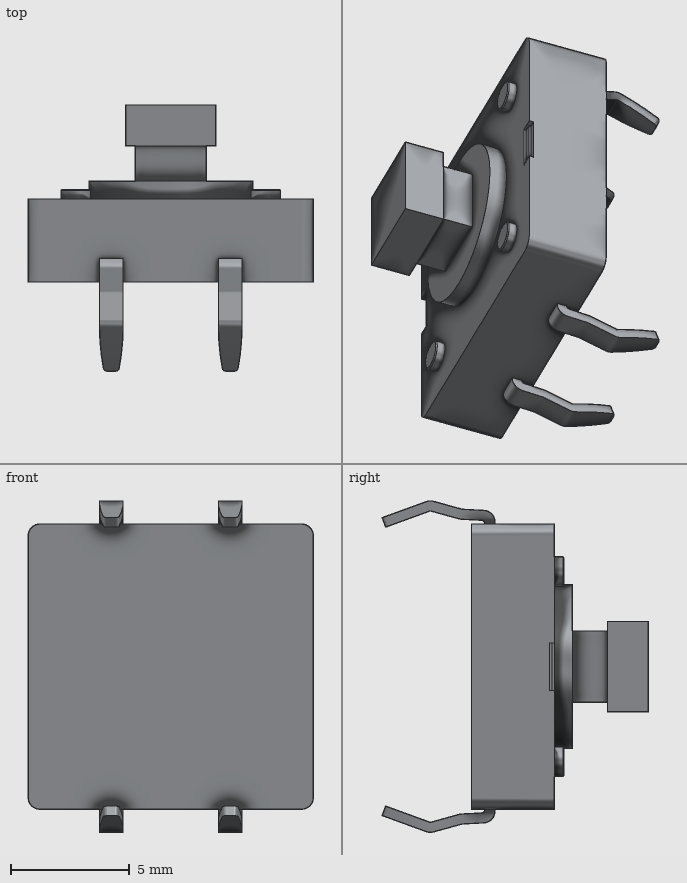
import cadquery as cq
import math


body_side = 12.0
body_depth = 3.5
body_corner_radius = 0.5
body_back = -body_depth
half_side = body_side / 2

collar_diameter = 6.9
collar_height = 0.75
stem_side = 3.0
cap_side = 3.8
cap_height = 1.725
plunger_height = 3.95

rivet_diameter = 1.25
rivet_height = 0.4
rivet_chamfer = 0.05
rivet_pitch = 8.0

notch_width = 2.0
notch_step_depth = 0.1
notch_step_length = 0.3

leg_thickness = 0.43
leg_width = 1.0
leg_pitch = 5.0
leg_embed = 0.5
leg_root_offset = 1.0
leg_rise = 0.55
leg_reach = 3.75
leg_overhang = 0.975
shoulder_angle = 3.0
ramp_angle = 15.5
blade_angle = 20.0
ramp_start = 0.39
knee_inner_radius = 0.15
crest_radius = 0.45
knee_outer_radius = 0.5
ramp_bend_radius = 0.45
crest_margin = 0.01
blade_flank_radius = 10.5
blade_tip_radius = 0.18


def make_housing():
    block = cq.Workplane("XY").box(body_side, body_depth, body_side)
    block = block.edges("|Y").fillet(body_corner_radius)
    return block.translate((0, -body_depth / 2, 0))


def square_post(side, start, end):
    """Square post centred on the Y axis, from y = start to y = end."""
    length = end - start
    return cq.Workplane("XY").box(side, length, side).translate((0, start + length / 2, 0))


def disc(diameter, height):
    """Disc standing on the front face of the housing."""
    return cq.Workplane("XZ").circle(diameter / 2).extrude(-height)


def make_plunger():
    cap_base = plunger_height - cap_height
    collar = disc(collar_diameter, collar_height)
    stem = square_post(stem_side, 0, cap_base)
    cap = square_post(cap_side, cap_base, plunger_height)
    return collar.union(stem).union(cap)


def make_rivet():
    return disc(rivet_diameter, rivet_height).faces(">Y").edges().chamfer(rivet_chamfer)


def notch_block(side, depth, length):
    """Cutter block reaching inward from an X side (-1 or +1) and back from the front face."""
    block = cq.Workplane("XY").box(length, depth, notch_width)
    return block.translate((side * (half_side - length / 2), -depth / 2, 0))


def notch_cutter(side):
    """Two-step notch, deepest at the rim, on the -X (side = -1) or +X (side = 1) edge."""
    outer_step = notch_block(side, 2 * notch_step_depth, notch_step_length)
    inner_step = notch_block(side, notch_step_depth, 2 * notch_step_length)
    return outer_step.union(inner_step)


def heading(angle):
    """Unit vector in (y, z) pointing toward -Y and raised by angle degrees toward +Z."""
    turn = math.radians(angle)
    return (-math.cos(turn), math.sin(turn))


def step_along(point, angle, distance):
    """Point reached from point by moving distance along heading(angle)."""
    direction = heading(angle)
    return (point[0] + distance * direction[0], point[1] + distance * direction[1])


def inner_corner(point, angle_before, angle_after):
    """Corner on the underside of the strip, opposite an outer corner where the heading turns."""
    mean_angle = (angle_before + angle_after) / 2
    half_turn = math.radians(angle_after - angle_before) / 2
    return step_along(point, mean_angle - 90, leg_thickness / math.cos(half_turn))


def make_leg():
    """One leg on the +Z side, centred on x = 0."""
    root = (body_back + leg_root_offset, half_side - leg_embed)
    knee = (root[0], half_side + leg_rise)
    ramp_y = body_back - ramp_start
    shoulder_length = (knee[0] - ramp_y) / math.cos(math.radians(shoulder_angle))
    ramp_foot = step_along(knee, shoulder_angle, shoulder_length)

    half_turn = math.radians(ramp_angle + blade_angle) / 2
    skew = math.radians(blade_angle - ramp_angle) / 2
    crest_sag = crest_radius * (math.cos(skew) / math.cos(half_turn) - 1)
    crest_z = half_side + leg_overhang + crest_sag
    ramp_length = (crest_z - ramp_foot[1]) / math.sin(math.radians(ramp_angle))
    crest = step_along(ramp_foot, ramp_angle, ramp_length)
    crest_tangent = crest_radius * math.tan(half_turn)
    blade_root = step_along(crest, -blade_angle, crest_tangent + crest_margin)

    root_inner = step_along(root, 0, leg_thickness)
    knee_inner = inner_corner(knee, 90, shoulder_angle)
    ramp_inner = inner_corner(ramp_foot, shoulder_angle, ramp_angle)
    crest_inner = inner_corner(crest, ramp_angle, -blade_angle)
    blade_root_inner = step_along(blade_root, -blade_angle - 90, leg_thickness)

    outer_corners = [root, knee, ramp_foot, crest, blade_root]
    inner_corners = [blade_root_inner, crest_inner, ramp_inner, knee_inner, root_inner]
    strip = cq.Workplane("YZ").polyline(outer_corners + inner_corners).close()
    strip = strip.extrude(leg_width / 2, both=True)

    bends = [
        (knee, knee_outer_radius),
        (knee_inner, knee_inner_radius),
        (ramp_foot, ramp_bend_radius),
        (ramp_inner, ramp_bend_radius + leg_thickness),
        (crest, crest_radius),
    ]
    for (y, z), radius in bends:
        bend_edge = cq.selectors.NearestToPointSelector((0, y, z))
        strip = strip.edges("|X").edges(bend_edge).fillet(radius)
    return strip.union(make_blade(blade_root))


def make_blade(blade_root):
    """Tapered end of a leg, starting at the outer point blade_root and sloping back toward the body."""
    direction = heading(-blade_angle)
    normal = heading(-blade_angle - 90)
    length = (body_back - leg_reach - blade_root[0]) / direction[0]
    half_width = leg_width / 2

    def flank_x(distance):
        sagitta = blade_flank_radius - math.sqrt(blade_flank_radius**2 - distance**2)
        return half_width - sagitta

    plane = cq.Plane(
        origin=(0, blade_root[0], blade_root[1]),
        xDir=(0, direction[0], direction[1]),
        normal=(0, normal[0], normal[1]),
    )
    tip_x = flank_x(length)
    middle = length / 2
    blade = (
        cq.Workplane(plane)
        .moveTo(0, half_width)
        .threePointArc((middle, flank_x(middle)), (length, tip_x))
        .lineTo(length, -tip_x)
        .threePointArc((middle, -flank_x(middle)), (0, -half_width))
        .close()
        .extrude(leg_thickness)
    )
    tip_edges = blade.faces("<Y").edges("not |X")
    return tip_edges.fillet(blade_tip_radius)


result = make_housing().union(make_plunger())

rivet = make_rivet()
leg = make_leg()
for x_side in (-1, 1):
    result = result.cut(notch_cutter(x_side))
    for z_side in (-1, 1):
        result = result.union(rivet.translate((x_side * rivet_pitch / 2, 0, z_side * rivet_pitch / 2)))
    placed_leg = leg.translate((x_side * leg_pitch / 2, 0, 0))
    result = result.union(placed_leg).union(placed_leg.mirror("XY"))